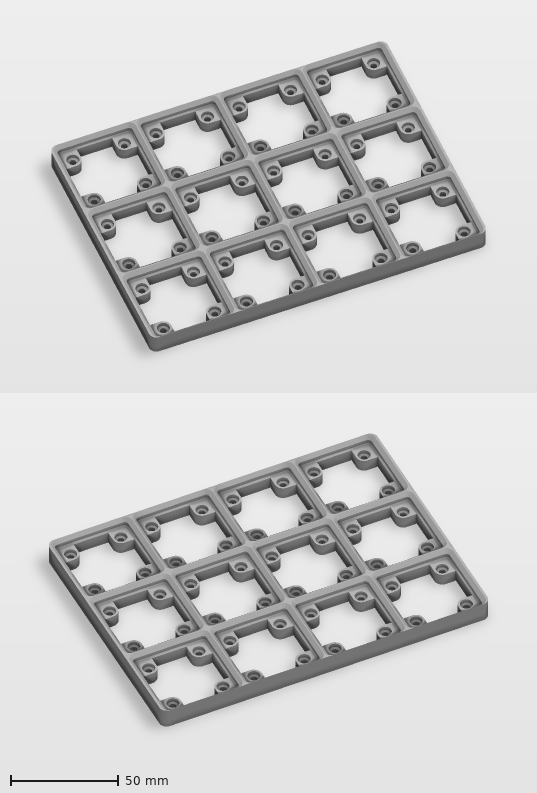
import cadquery as cq

length_x = 125.5
length_y = 169.9
height = 10.9
outer_corner_radius = 3.7
bottom_chamfer = 0.5

columns = 3
rows = 4
ridge_half_width = 0.24
pitch = (length_x + 2 * ridge_half_width) / columns

socket_side = pitch - 2 * ridge_half_width
socket_corner_radius = outer_corner_radius
slope_angle = 45
upper_slope = 1.9
upright_wall = 1.9
lower_slope = 0.8
socket_depth = upper_slope + upright_wall + lower_slope
floor_height = height - socket_depth

wall_side = socket_side - 2 * upper_slope
wall_corner_radius = socket_corner_radius - upper_slope
opening_side = wall_side - 2 * lower_slope
opening_corner_radius = wall_corner_radius - lower_slope

hole_spacing = 26.0
hole_diameter = 3.2
counterbore_diameter = 6.1
counterbore_depth = 2.0
pad_margin = 4.0
pad_corner_radius = pad_margin


def rounded_prism(side, radius, top, depth, taper=0):
    """Square prism with rounded corners, reaching down from the given height."""
    outline = cq.Sketch().rect(side, side).vertices().fillet(radius)
    return cq.Workplane("XY", origin=(0, 0, top)).placeSketch(outline).extrude(-depth, taper=taper)


def make_plate():
    plate = cq.Workplane("XY").box(length_x, length_y, height, centered=(True, True, False))
    plate = plate.edges("|Z").fillet(outer_corner_radius)
    return plate.faces("<Z").edges().chamfer(bottom_chamfer)


def make_socket():
    wall_top = height - upper_slope
    wall_bottom = wall_top - upright_wall
    upper = rounded_prism(socket_side, socket_corner_radius, height, upper_slope, taper=slope_angle)
    wall = rounded_prism(wall_side, wall_corner_radius, wall_top, upright_wall)
    lower = rounded_prism(wall_side, wall_corner_radius, wall_bottom, lower_slope, taper=slope_angle)
    return upper.union(wall).union(lower)


def make_opening():
    """Cell opening whose corners are left filled by the four pads."""
    inner_edge = hole_spacing / 2 - pad_margin
    pad_side = pitch / 2 - inner_edge
    pad_center = inner_edge + pad_side / 2
    pads = (
        cq.Workplane("XY")
        .rect(2 * pad_center, 2 * pad_center, forConstruction=True)
        .vertices()
        .rect(pad_side, pad_side)
        .extrude(floor_height)
        .edges("|Z")
        .fillet(pad_corner_radius)
    )
    return rounded_prism(opening_side, opening_corner_radius, floor_height, floor_height).cut(pads)


def make_screw_holes():
    def cylinders(diameter, depth):
        return (
            cq.Workplane("XY", origin=(0, 0, floor_height))
            .rect(hole_spacing, hole_spacing, forConstruction=True)
            .vertices()
            .circle(diameter / 2)
            .extrude(-depth)
        )

    return cylinders(hole_diameter, floor_height).union(cylinders(counterbore_diameter, counterbore_depth))


cell_cut = make_socket().union(make_opening()).union(make_screw_holes())

result = make_plate()
for column in range(columns):
    for row in range(rows):
        x = (column - (columns - 1) / 2) * pitch
        y = (row - (rows - 1) / 2) * pitch
        result = result.cut(cell_cut.translate((x, y, 0)))